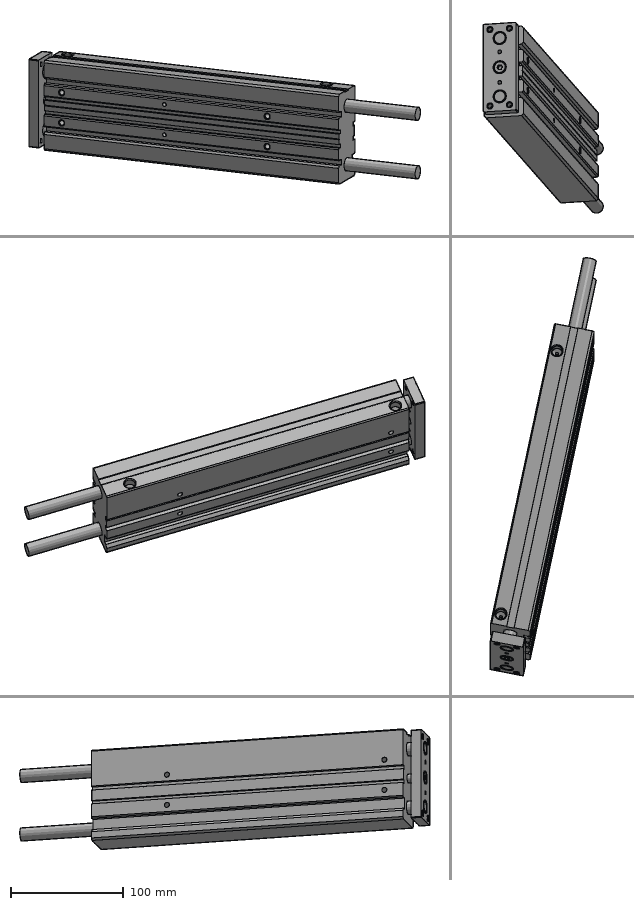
import cadquery as cq
import math

TOTAL_LENGTH = 372.0

SCREW_HOLE_CHAMFER = 0.7

PLATE_LENGTH = 9.3
PLATE_DEPTH = 30.0
PLATE_HEIGHT = 81.0
PLATE_EDGE_CHAMFER = 0.7
CORNER_HOLE_DIAMETER = 4.0
CORNER_HOLE_Y = 9.0
CORNER_HOLE_Z = 35.5
PIN_HOLE_DIAMETER = 3.5
PIN_HOLE_Z = 14.0

GUIDE_ROD_DIAMETER = 12.0
GUIDE_ROD_SPACING = 54.0
GUIDE_ROD_Z = GUIDE_ROD_SPACING / 2
PISTON_ROD_DIAMETER = 7.8
PISTON_ROD_INSERTION = 223.2
PISTON_HEAD_DIAMETER = 12.0
PISTON_HEAD_LENGTH = 6.0
ROD_TIP_DIAMETER = 10.0
ROD_TIP_LENGTH = 0.5
HEX_SOCKET_FLATS = 4.0
HEX_SOCKET_DEPTH = 3.7

HOUSING_START = 16.0
HOUSING_LENGTH = 286.8
HOUSING_DEPTH = 36.0
HOUSING_HEIGHT = 83.0
HOUSING_EDGE_CHAMFER = 2.0
REAR_TOP_EDGE_CHAMFER = 1.0
FACE_Y = HOUSING_DEPTH / 2
TOP_Z = HOUSING_HEIGHT / 2

SIDE_GROOVE_INNER_Z = 19.7
SIDE_GROOVE_OUTER_Z = 24.5
SIDE_GROOVE_DEPTH = 6.0
SIDE_GROOVE_INNER_CHAMFER = 1.0
SIDE_GROOVE_OUTER_CHAMFER = 2.0
CENTRE_GROOVE_INNER_Z = 5.0
CENTRE_GROOVE_OUTER_Z = 8.0
CENTRE_GROOVE_DEPTH = 3.7
FRONT_CENTRE_GROOVE_CHAMFER = 1.0
CENTRE_RIB_DROP = 1.0
CENTRE_MARK_WIDTH = 0.7
CENTRE_MARK_DEPTH = 0.5
REAR_GROOVE_UPPER_Z = -21.2
REAR_GROOVE_LOWER_Z = -31.2
REAR_GROOVE_DEPTH = 5.5
REAR_GROOVE_UPPER_CHAMFER = 1.0
REAR_GROOVE_LOWER_CHAMFER = 2.5
TOP_GROOVE_WIDTH = 6.7
TOP_GROOVE_DEPTH = 1.0

MOUNT_HOLE_DIAMETER = 4.5
MOUNT_HOLE_SPACING_Z = 28.0
MOUNT_HOLE_Z = MOUNT_HOLE_SPACING_Z / 2
MOUNT_HOLE_SPACING_X = 200.0
MOUNT_HOLE_X = 33.0
DOWEL_HOLE_X = MOUNT_HOLE_X + MOUNT_HOLE_SPACING_X / 2
DOWEL_HOLE_DIAMETER = 3.5
DOWEL_HOLE_DEPTH = 5.5

PORT_XS = (26.5, 278.3)
PORT_Y = 10.8
PORT_DIAMETER = 9.3
PORT_MOUTH_CHAMFER = 0.93
PORT_DEPTH = 7.5
PORT_CONE_DEPTH = 2.2
PORT_PASSAGE_DIAMETER = 3.0
PORT_PASSAGE_DEPTH = 15.0


def cylinder_x(diameter, start, length, z=0.0):
    """Cylinder along X, centred on Y = 0."""
    return cq.Workplane("YZ", origin=(start, 0, z)).circle(diameter / 2).extrude(length)


def screw_hole(diameter, depth, mouth, direction):
    """Cutter for a round hole with a 45 degree chamfer at its mouth."""
    radius = diameter / 2
    shaft = cq.Solid.makeCylinder(radius, depth, mouth, direction)
    countersink = cq.Solid.makeCone(radius + SCREW_HOLE_CHAMFER, radius, SCREW_HOLE_CHAMFER, mouth, direction)
    return shaft.fuse(countersink)


def housing_bar(points):
    """Prism along the whole housing with a (Y, Z) outline."""
    return cq.Workplane("YZ", origin=(HOUSING_START, 0, 0)).polyline(points).close().extrude(HOUSING_LENGTH)


def groove(side, z_a, z_b, depth, chamfer_a=0.0, chamfer_b=0.0):
    """Groove in the front (side = -1) or rear (side = +1) face.

    Its walls stand at z_a and z_b, and each has its own 45 degree chamfer at the mouth.
    """
    outward = 1 if z_b > z_a else -1
    face = side * FACE_Y
    floor = side * (FACE_Y - depth)
    points = [(floor, z_a)]
    if chamfer_a:
        points.append((face - side * chamfer_a, z_a))
    points.append((face, z_a - outward * chamfer_a))
    points.append((face, z_b + outward * chamfer_b))
    if chamfer_b:
        points.append((face - side * chamfer_b, z_b))
    points.append((floor, z_b))
    return housing_bar(points)


def cut_centre_profile(body, side, mouth_chamfer=0.0):
    """Lowered rib between two grooves along the middle of a face."""
    for direction in (1, -1):
        body = body.cut(
            groove(
                side,
                direction * CENTRE_GROOVE_INNER_Z,
                direction * CENTRE_GROOVE_OUTER_Z,
                CENTRE_GROOVE_DEPTH,
                chamfer_b=mouth_chamfer,
            )
        )
    return body.cut(groove(side, -CENTRE_GROOVE_INNER_Z, CENTRE_GROOVE_INNER_Z, CENTRE_RIB_DROP))


def cut_front_grooves(body):
    """Centre profile, a groove on either side of it and a fine V mark along the rib."""
    body = cut_centre_profile(body, -1, FRONT_CENTRE_GROOVE_CHAMFER)
    for direction in (1, -1):
        body = body.cut(
            groove(
                -1,
                direction * SIDE_GROOVE_INNER_Z,
                direction * SIDE_GROOVE_OUTER_Z,
                SIDE_GROOVE_DEPTH,
                SIDE_GROOVE_INNER_CHAMFER,
                SIDE_GROOVE_OUTER_CHAMFER,
            )
        )
    rib_face = -(FACE_Y - CENTRE_RIB_DROP)
    mark = housing_bar(
        [
            (rib_face, CENTRE_MARK_WIDTH / 2),
            (rib_face + CENTRE_MARK_DEPTH, 0),
            (rib_face, -CENTRE_MARK_WIDTH / 2),
        ]
    )
    return body.cut(mark)


def cut_rear_grooves(body):
    """Centre profile and one wide groove in the lower half."""
    body = cut_centre_profile(body, 1)
    return body.cut(
        groove(
            1,
            REAR_GROOVE_UPPER_Z,
            REAR_GROOVE_LOWER_Z,
            REAR_GROOVE_DEPTH,
            REAR_GROOVE_UPPER_CHAMFER,
            REAR_GROOVE_LOWER_CHAMFER,
        )
    )


def cut_top_groove(body):
    half_width = TOP_GROOVE_WIDTH / 2
    floor = TOP_Z - TOP_GROOVE_DEPTH
    outline = [(-half_width, TOP_Z), (-half_width, floor), (half_width, floor), (half_width, TOP_Z)]
    return body.cut(housing_bar(outline))


def cut_mounting_holes(body):
    """Screw holes right through the thickness, with a blind dowel hole midway between them."""
    into_part = cq.Vector(0, 1, 0)
    for z in (MOUNT_HOLE_Z, -MOUNT_HOLE_Z):
        for x in (MOUNT_HOLE_X, MOUNT_HOLE_X + MOUNT_HOLE_SPACING_X):
            mouth = cq.Vector(x, -FACE_Y, z)
            body = body.cut(screw_hole(MOUNT_HOLE_DIAMETER, HOUSING_DEPTH, mouth, into_part))
        dowel_mouth = cq.Vector(DOWEL_HOLE_X, -FACE_Y, z)
        dowel_hole = cq.Solid.makeCylinder(DOWEL_HOLE_DIAMETER / 2, DOWEL_HOLE_DEPTH, dowel_mouth, into_part)
        body = body.cut(dowel_hole)
    return body


def cut_ports(body):
    """Round port with a conical bottom that leads into a narrow passage."""
    port_radius = PORT_DIAMETER / 2
    passage_radius = PORT_PASSAGE_DIAMETER / 2
    half_section = [
        (0, 0),
        (port_radius + PORT_MOUTH_CHAMFER, 0),
        (port_radius, -PORT_MOUTH_CHAMFER),
        (port_radius, -PORT_DEPTH),
        (passage_radius, -PORT_DEPTH - PORT_CONE_DEPTH),
        (passage_radius, -PORT_PASSAGE_DEPTH),
        (0, -PORT_PASSAGE_DEPTH),
    ]
    for x in PORT_XS:
        port = cq.Workplane("XZ", origin=(x, PORT_Y, TOP_Z)).polyline(half_section).close()
        body = body.cut(port.revolve(360, (0, 0, 0), (0, 1, 0)))
    return body


def make_housing_blank():
    """Plain bar with chamfered long edges; the upper rear edge has a smaller chamfer."""
    half_depth_flat = FACE_Y - HOUSING_EDGE_CHAMFER
    half_height_flat = TOP_Z - HOUSING_EDGE_CHAMFER
    return housing_bar(
        [
            (-half_depth_flat, -TOP_Z),
            (half_depth_flat, -TOP_Z),
            (FACE_Y, -half_height_flat),
            (FACE_Y, TOP_Z - REAR_TOP_EDGE_CHAMFER),
            (FACE_Y - REAR_TOP_EDGE_CHAMFER, TOP_Z),
            (-half_depth_flat, TOP_Z),
            (-FACE_Y, half_height_flat),
            (-FACE_Y, -half_height_flat),
        ]
    )


def make_housing():
    body = make_housing_blank()
    body = cut_front_grooves(body)
    body = cut_rear_grooves(body)
    body = cut_top_groove(body)
    body = cut_mounting_holes(body)
    body = cut_ports(body)
    for z in (GUIDE_ROD_Z, -GUIDE_ROD_Z):
        body = body.cut(cylinder_x(GUIDE_ROD_DIAMETER, HOUSING_START, HOUSING_LENGTH, z))
    return body.cut(cylinder_x(PISTON_ROD_DIAMETER, HOUSING_START, PISTON_ROD_INSERTION))


def stepped_rod(diameter, length, z=0.0):
    """Round bar from the front of the plate, with a slightly narrower tip."""
    tip = cylinder_x(ROD_TIP_DIAMETER, 0, ROD_TIP_LENGTH, z)
    return tip.union(cylinder_x(diameter, ROD_TIP_LENGTH, length - ROD_TIP_LENGTH, z))


def make_piston_rod():
    """Rod with a head seated in the plate and a hexagon socket in the head."""
    head = stepped_rod(PISTON_HEAD_DIAMETER, PISTON_HEAD_LENGTH)
    shank_length = HOUSING_START + PISTON_ROD_INSERTION - PISTON_HEAD_LENGTH
    shank = cylinder_x(PISTON_ROD_DIAMETER, PISTON_HEAD_LENGTH, shank_length)
    corner_diameter = HEX_SOCKET_FLATS / math.cos(math.pi / 6)
    socket = cq.Workplane("YZ").polygon(6, corner_diameter).extrude(HEX_SOCKET_DEPTH)
    return head.union(shank).cut(socket)


def make_guide_rod(z):
    return stepped_rod(GUIDE_ROD_DIAMETER, TOTAL_LENGTH, z)


def make_plate():
    plate = (
        cq.Workplane("XY")
        .box(PLATE_LENGTH, PLATE_DEPTH, PLATE_HEIGHT)
        .edges("|X")
        .chamfer(PLATE_EDGE_CHAMFER)
        .translate((PLATE_LENGTH / 2, 0, 0))
    )
    for direction in (1, -1):
        for y in (CORNER_HOLE_Y, -CORNER_HOLE_Y):
            mouth = cq.Vector(0, y, direction * CORNER_HOLE_Z)
            plate = plate.cut(screw_hole(CORNER_HOLE_DIAMETER, PLATE_LENGTH, mouth, cq.Vector(1, 0, 0)))
        plate = plate.cut(cylinder_x(PIN_HOLE_DIAMETER, 0, PLATE_LENGTH, direction * PIN_HOLE_Z))
        plate = plate.cut(cylinder_x(GUIDE_ROD_DIAMETER, 0, PLATE_LENGTH, direction * GUIDE_ROD_Z))
    plate = plate.cut(cylinder_x(PISTON_HEAD_DIAMETER, 0, PISTON_HEAD_LENGTH))
    return plate.cut(cylinder_x(PISTON_ROD_DIAMETER, 0, PLATE_LENGTH))


housing = make_housing()
plate = make_plate()
piston_rod = make_piston_rod()
guide_rods = [make_guide_rod(z) for z in (GUIDE_ROD_Z, -GUIDE_ROD_Z)]

result = cq.Compound.makeCompound(
    [housing.val(), plate.val(), piston_rod.val(), *[rod.val() for rod in guide_rods]]
)